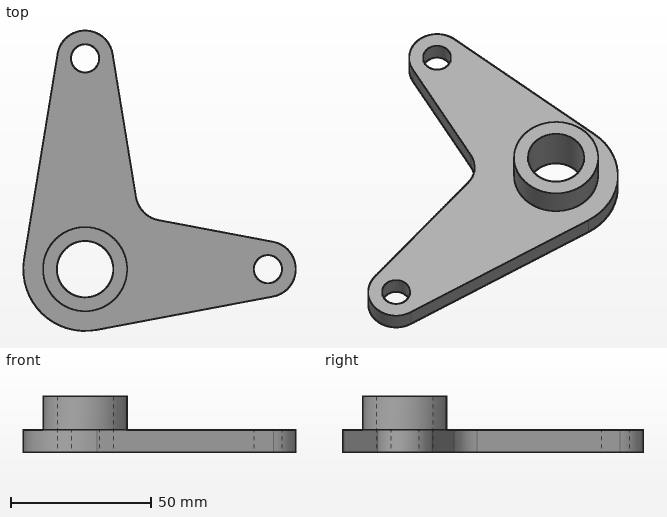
import cadquery as cq
import math

hub_radius = 22.0
tip_radius = 10.0
long_arm = 75.0
short_arm = 65.0
plate_thickness = 8.0
total_height = 20.0
boss_diameter = 30.0
bore_diameter = 20.0
tip_hole_diameter = 10.0
inner_corner_radius = 10.0

tip_centers = [(0, long_arm), (short_arm, 0)]

long_taper = math.asin((hub_radius - tip_radius) / long_arm)
short_taper = math.asin((hub_radius - tip_radius) / short_arm)


def on_circle(center, radius, angle):
    """Point on a circle at an angle measured from +X."""
    return (center[0] + radius * math.cos(angle), center[1] + radius * math.sin(angle))


def inner_corner():
    """Meeting point of the two inner arm sides, both tangent to the hub circle."""
    long_side_normal = long_taper
    short_side_normal = math.pi / 2 - short_taper
    bisector = (long_side_normal + short_side_normal) / 2
    half_angle = (short_side_normal - long_side_normal) / 2
    return on_circle((0, 0), hub_radius / math.cos(half_angle), bisector)


def bell_crank_plate():
    """Flat L-shaped plate with tapered arms, round ends and a rounded inner corner."""
    hub = (0, 0)
    long_tip, short_tip = tip_centers
    corner = inner_corner()
    outline = (
        cq.Workplane("XY")
        .moveTo(*corner)
        .lineTo(*on_circle(long_tip, tip_radius, long_taper))
        .threePointArc(
            on_circle(long_tip, tip_radius, math.pi / 2),
            on_circle(long_tip, tip_radius, math.pi - long_taper),
        )
        .lineTo(*on_circle(hub, hub_radius, math.pi - long_taper))
        .threePointArc(
            on_circle(hub, hub_radius, math.radians(225)),
            on_circle(hub, hub_radius, short_taper - math.pi / 2),
        )
        .lineTo(*on_circle(short_tip, tip_radius, short_taper - math.pi / 2))
        .threePointArc(
            on_circle(short_tip, tip_radius, 0),
            on_circle(short_tip, tip_radius, math.pi / 2 - short_taper),
        )
        .close()
    )
    plate = outline.extrude(plate_thickness)
    corner_edge = cq.selectors.NearestToPointSelector((*corner, plate_thickness / 2))
    return plate.edges("|Z").edges(corner_edge).fillet(inner_corner_radius)


def cylinder(diameter, height):
    """Upright cylinder on the hub axis, standing on the plate's underside."""
    return cq.Workplane("XY").circle(diameter / 2).extrude(height)


tip_holes = (
    cq.Workplane("XY")
    .pushPoints(tip_centers)
    .circle(tip_hole_diameter / 2)
    .extrude(plate_thickness)
)

result = (
    bell_crank_plate()
    .union(cylinder(boss_diameter, total_height))
    .cut(cylinder(bore_diameter, total_height))
    .cut(tip_holes)
)